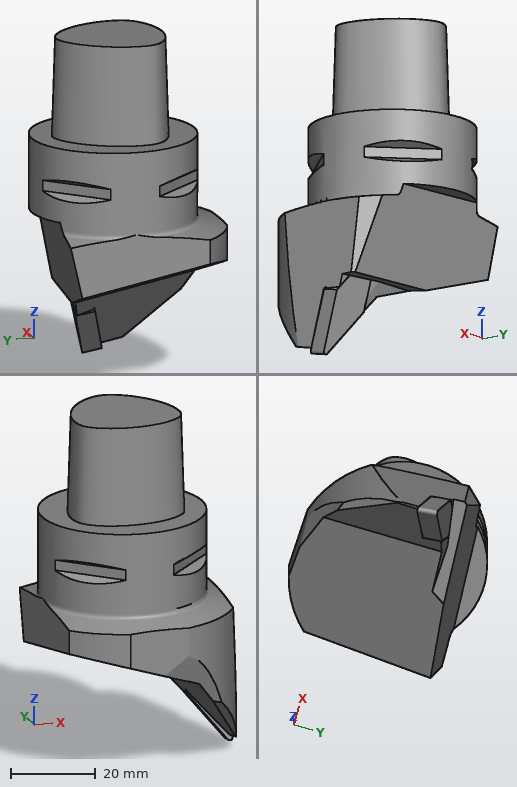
import cadquery as cq
import math

shank_length = 24.0
shank_base_radius = 13.9
shank_top_radius = 13.1
lobe_height = 1.0
points_per_lobe = 12

flange_radius = 20.0
flange_length = 19.9
neck_radius = 20.9
neck_drop = 1.2
head_radius = 27.05
collar_z = -22.6
neck_z = -(flange_length + neck_drop)

groove_count = 4
groove_z = -10.1
groove_floor_distance = 17.7
groove_floor_width = 2.5
groove_mouth_width = 5.0

tip = (27.1, -0.4, -61.4)
insert_side = 17.1
insert_thickness = 4.8
insert_lead_angle = 5.0
insert_point_angle = 34.5
nose_radius = 0.7
rake_normal = (0.19, 1.0, -0.22)
tip_z = tip[2]

front_flat_y = -26.0
back_relief_top_z = -18.1
chip_pocket_top_z = -40.8
chip_wall_slope = 0.34

back_top_corner = (-flange_radius, 16.1, -22.3)
back_low_corner = (-flange_radius, 13.3, -34.8)
bevel_back = (20.75, 12.5, -22.2)
bevel_back_low = (bevel_back[0], bevel_back[1], chip_pocket_top_z)
bevel_side = (24.45, 8.6, -22.2)
side_front = (22.6, -14.6, collar_z)
side_low = (25.6, -9.5, -56.8)
flank_back_end = (13.35, 6.2, -44.4)
flank_front_end = (11.0, -23.0, -37.8)
flank_tip = (25.6, -4.5, -57.8)
front_bevel_low = (1.4, front_flat_y, -33.8)
front_bevel_high = (7.05, front_flat_y, -29.7)
front_bevel_side = (17.5, -20.6, -43.6)

nose_profile = [(-20.4, -43.9), (-9.5, -56.5), (-4.5, -57.6)]

inner_point = cq.Vector(0, 0, -25.2)
block_size = 168.0


def block_along(point, normal):
    """Large block on the side of a plane that its normal points to."""
    plane = cq.Plane(origin=point, normal=normal)
    return cq.Workplane(plane).rect(block_size, block_size).extrude(block_size)


def block_beyond(first, second, third):
    """Large block beyond the plane through three points, on the side away from inner_point."""
    corner = cq.Vector(*first)
    normal = (cq.Vector(*second) - corner).cross(cq.Vector(*third) - corner)
    if normal.dot(inner_point - corner) > 0:
        normal = normal * -1
    return block_along(first, normal.toTuple())


def block_below(z):
    return block_along((0, 0, z), (0, 0, -1))


def lobed_point(mean_radius, angle):
    """Point of a constant-width curve with one lobe pointing to +Y."""
    phase = 3 * (angle - math.pi / 2)
    support = mean_radius + lobe_height * math.cos(phase)
    slope = -3 * lobe_height * math.sin(phase)
    x = support * math.cos(angle) - slope * math.sin(angle)
    y = support * math.sin(angle) + slope * math.cos(angle)
    return x, y


def lobed_outline(mean_radius):
    count = 3 * points_per_lobe
    return [lobed_point(mean_radius, 2 * math.pi * i / count) for i in range(count)]


def make_shank():
    base = cq.Workplane("XY").spline(lobed_outline(shank_base_radius), periodic=True).close()
    top = base.workplane(offset=shank_length)
    return top.spline(lobed_outline(shank_top_radius), periodic=True).close().loft(ruled=True)


def make_blank():
    """Flange, concave neck, conical collar and round head, turned about Z."""
    sag = 1 - math.sqrt(0.5)
    neck_middle = (flange_radius + sag * (neck_radius - flange_radius), neck_z + sag * neck_drop)
    return (
        cq.Workplane("XZ")
        .lineTo(flange_radius, 0)
        .lineTo(flange_radius, -flange_length)
        .threePointArc(neck_middle, (neck_radius, neck_z))
        .lineTo(head_radius, collar_z)
        .lineTo(head_radius, tip_z)
        .lineTo(0, tip_z)
        .close()
        .revolve(360, (0, 0, 0), (0, 1, 0))
    )


def cut_grooves(body):
    """Trapezoidal grooves with straight floors, on the diagonals of the flange."""
    depth = flange_radius - groove_floor_distance
    flare = (groove_mouth_width - groove_floor_width) / 2
    profile = [
        (groove_floor_distance, groove_z - groove_floor_width / 2),
        (groove_floor_distance, groove_z + groove_floor_width / 2),
        (groove_floor_distance + 2 * depth, groove_z + groove_floor_width / 2 + 2 * flare),
        (groove_floor_distance + 2 * depth, groove_z - groove_floor_width / 2 - 2 * flare),
    ]
    cutter = cq.Workplane("XZ").polyline(profile).close().extrude(flange_radius, both=True)
    pitch = 360 / groove_count
    for i in range(groove_count):
        body = body.cut(cutter.rotate((0, 0, 0), (0, 0, 1), (i + 0.5) * pitch))
    return body


def trim_sides(body):
    """Side flat at -X, front flat at -Y and the slightly tilted +X face."""
    body = body.cut(block_along((-flange_radius, 0, 0), (-1, 0, 0)))
    body = body.cut(block_along((0, front_flat_y, 0), (0, -1, 0)))
    tilted_side = block_beyond(side_front, bevel_side, side_low)
    return body.cut(tilted_side.intersect(block_below(-flange_length)))


def trim_back(body):
    """Leaning back face with a bevelled corner, both ending in a ledge under the flange."""
    back = block_beyond(back_top_corner, bevel_back, back_low_corner)
    bevel = block_beyond(bevel_back, bevel_side, bevel_back_low)
    return body.cut(back.union(bevel).intersect(block_below(back_relief_top_z)))


def trim_underside(body):
    """Sloping underside and the steeper flank that runs down beside the insert."""
    underside = block_beyond(back_low_corner, flank_back_end, flank_front_end)
    flank = block_beyond(flank_back_end, flank_front_end, flank_tip)
    return body.cut(underside.intersect(flank))


def trim_nose(body):
    """Bevels that narrow the head from the front flat down to the tip."""
    body = body.cut(block_beyond(front_bevel_low, front_bevel_high, front_bevel_side))
    for (start_y, start_z), (end_y, end_z) in zip(nose_profile, nose_profile[1:]):
        start = (0, start_y, start_z)
        start_along_x = (0.8, start_y, start_z)
        body = body.cut(block_beyond(start, start_along_x, (0, end_y, end_z)))
    return body


def cut_chip_pocket(body):
    """Clearance in front of the rake face of the insert."""
    pocket = block_along(tip, rake_normal).union(block_along(tip, (0, 1, -chip_wall_slope)))
    return body.cut(pocket.intersect(block_below(chip_pocket_top_z)))


def make_insert():
    rake_plane = cq.Plane(origin=tip, xDir=(-1, rake_normal[0], 0), normal=rake_normal)
    start = math.radians(insert_lead_angle)
    end = math.radians(insert_lead_angle + insert_point_angle)
    side_a = (insert_side * math.sin(start), insert_side * math.cos(start))
    side_b = (insert_side * math.sin(end), insert_side * math.cos(end))
    far_corner = (side_a[0] + side_b[0], side_a[1] + side_b[1])
    corners = [(0, 0), side_a, far_corner, side_b]
    plate = cq.Workplane(rake_plane).polyline(corners).close().extrude(-insert_thickness)
    nose_middle = rake_plane.toWorldCoords((0, 0, -insert_thickness / 2))
    nose_edge = cq.selectors.NearestToPointSelector(nose_middle)
    return plate.edges(nose_edge).fillet(nose_radius)


insert = make_insert()

holder = cut_grooves(make_blank())
holder = trim_sides(holder)
holder = trim_back(holder)
holder = trim_underside(holder)
holder = trim_nose(holder)
holder = cut_chip_pocket(holder)
holder = holder.union(make_shank()).cut(insert)

result = cq.Compound.makeCompound([holder.solids().val(), insert.solids().val()])